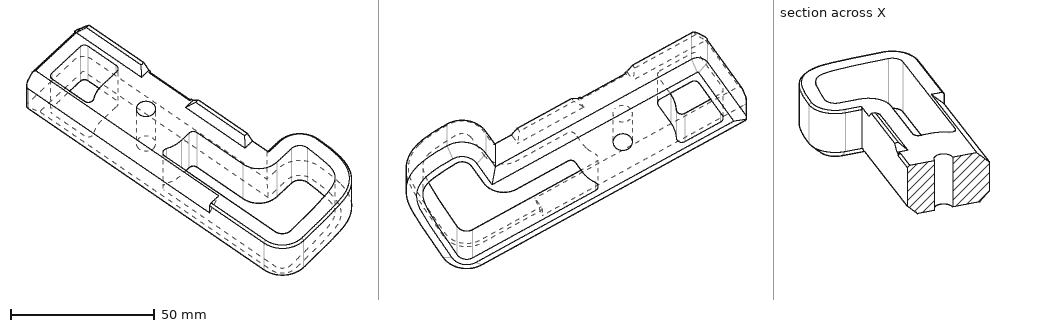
import cadquery as cq
import math

length = 120
arm_width = 30.8
head_width = 46.9
deck_height = 20.2
total_height = 22.5
wall = 5.9
head_x = 85.1
front_corner_radius = 1.8
rear_corner_radius = 4.1
head_radius = 9.8
bottom_chamfer = 3.7
top_chamfer = 0.8
front_bevel = 4.9

head_crown = [(119.4, 28.8), (118.4, 35.4), (115.0, 41.5), (108.6, 45.4), (101.4, 46.7)]
window_crown = [(113.5, 26.4), (112.8, 32.6), (110.6, 37.7), (106.5, 39.8), (101.4, 40.5)]

hole_diameter = 6.7
hole_x = 41.0
hole_y = 17.3
waist_half_width = 18.4
waist_start_y = 14.9
waist_radius = 12.6
left_window_top = 25.0
right_window_top = 21.0
window_corner_radius = 1.9
elbow_radius = 8.4

rail_height = total_height - deck_height
rail_base_width = 4.1
rail_top_width = 1.4
rail_spans = [(0.8, 30.8), (51.1, 78.5)]
relief_span = (31.5, 50.2)


def corner_middle(center_x, center_y, radius, direction):
    """Midpoint of a quarter-round corner, in the given diagonal direction in degrees."""
    angle = math.radians(direction)
    return (center_x + radius * math.cos(angle), center_y + radius * math.sin(angle))


def make_outline():
    """Outer shape of the part up to the deck, with a sharp front left corner."""
    rear_r = rear_corner_radius
    head_r = head_radius
    return (
        cq.Workplane("XY")
        .moveTo(0, 0)
        .lineTo(length - head_r, 0)
        .threePointArc(corner_middle(length - head_r, head_r, head_r, -45), (length, head_r))
        .spline(head_crown + [(head_x + head_r, head_width)], tangents=[(0, 1), (-1, 0)],
                includeCurrent=True)
        .threePointArc(
            corner_middle(head_x + head_r, head_width - head_r, head_r, 135),
            (head_x, head_width - head_r),
        )
        .lineTo(head_x, arm_width)
        .lineTo(rear_r, arm_width)
        .threePointArc(corner_middle(rear_r, arm_width - rear_r, rear_r, 135),
                       (0, arm_width - rear_r))
        .close()
        .extrude(deck_height)
    )


def make_box(x_span, y_span, z_span):
    """Axis-aligned box between the given limits."""
    return cq.Workplane("XY").box(
        x_span[1] - x_span[0], y_span[1] - y_span[0], z_span[1] - z_span[0], centered=False
    ).translate((x_span[0], y_span[0], z_span[0]))


def waist_offset(y):
    """Widening of a window at a given Y on its curved side."""
    drop = waist_start_y - y
    return waist_radius - math.sqrt(waist_radius**2 - drop**2)


def make_left_window():
    """Four-sided window near the left end, with one curved side."""
    side_x = hole_x - waist_half_width
    middle_y = (waist_start_y + wall) / 2
    return (
        cq.Workplane("XY")
        .moveTo(wall, wall)
        .lineTo(side_x + waist_offset(wall), wall)
        .threePointArc((side_x + waist_offset(middle_y), middle_y), (side_x, waist_start_y))
        .lineTo(side_x, left_window_top)
        .lineTo(wall, left_window_top)
        .close()
        .extrude(deck_height)
        .edges("|Z and <Y")
        .fillet(window_corner_radius)
        .edges("|Z and >Y")
        .fillet(window_corner_radius)
    )


def make_right_window():
    """L-shaped window reaching from the arm into the head."""
    side_x = hole_x + waist_half_width
    middle_y = (waist_start_y + wall) / 2
    inner_r = head_radius - wall
    right_x = length - wall
    head_left = head_x + wall
    head_rear = head_width - wall
    window = (
        cq.Workplane("XY")
        .moveTo(side_x - waist_offset(wall), wall)
        .lineTo(right_x - inner_r, wall)
        .threePointArc(corner_middle(right_x - inner_r, wall + inner_r, inner_r, -45),
                       (right_x, wall + inner_r))
        .spline(window_crown + [(head_left + inner_r, head_rear)],
                tangents=[(0, 1), (-1, 0)], includeCurrent=True)
        .threePointArc(
            corner_middle(head_left + inner_r, head_rear - inner_r, inner_r, 135),
            (head_left, head_rear - inner_r),
        )
        .lineTo(head_left, right_window_top + elbow_radius)
        .threePointArc(
            corner_middle(head_left - elbow_radius, right_window_top + elbow_radius,
                          elbow_radius, -45),
            (head_left - elbow_radius, right_window_top),
        )
        .lineTo(side_x, right_window_top)
        .lineTo(side_x, waist_start_y)
        .threePointArc((side_x - waist_offset(middle_y), middle_y),
                       (side_x - waist_offset(wall), wall))
        .close()
        .extrude(deck_height)
    )
    for corner in [(side_x - waist_offset(wall), wall), (side_x, right_window_top)]:
        corner_point = (corner[0], corner[1], deck_height / 2)
        window = window.edges(cq.selectors.NearestToPointSelector(corner_point))
        window = window.fillet(window_corner_radius)
    return window


def make_rail(x_start, x_end):
    """Rail with a sloping front face and 45-degree ends."""
    rear = arm_width
    profile = (
        cq.Workplane("YZ")
        .polyline([
            (rear - rail_base_width, deck_height),
            (rear, deck_height),
            (rear, total_height),
            (rear - rail_top_width, total_height),
        ])
        .close()
        .extrude(length)
    )
    ends = (
        cq.Workplane("XZ")
        .polyline([
            (x_start, deck_height),
            (x_end, deck_height),
            (x_end - rail_height, total_height),
            (x_start + rail_height, total_height),
        ])
        .close()
        .extrude(-head_width)
    )
    return profile.intersect(ends)


front_corner = cq.selectors.NearestToPointSelector((0, 0, deck_height / 2))
rounded_outline = make_outline().edges(front_corner).fillet(front_corner_radius)
plain_body = make_outline().faces("<Z").chamfer(bottom_chamfer).intersect(rounded_outline)
body = plain_body.faces(">Z").chamfer(top_chamfer)
rail_depth = (arm_width - rail_base_width, arm_width)
edge_height = (deck_height - top_chamfer, deck_height)
for sharp_span in [(0, relief_span[0]), (relief_span[1], head_x + top_chamfer)]:
    body = body.union(plain_body.intersect(make_box(sharp_span, rail_depth, edge_height)))

bevel = (
    cq.Workplane("YZ")
    .polyline([(0, deck_height), (front_bevel, deck_height), (0, deck_height - front_bevel)])
    .close()
    .extrude(head_x)
)
body = body.cut(bevel)

rail_limit = rounded_outline.translate((0, 0, rail_height))
for span in rail_spans:
    body = body.union(make_rail(*span).intersect(rail_limit))

hole = (
    cq.Workplane("XY").center(hole_x, hole_y).circle(hole_diameter / 2).extrude(deck_height)
)
result = body.cut(make_left_window()).cut(make_right_window()).cut(hole)